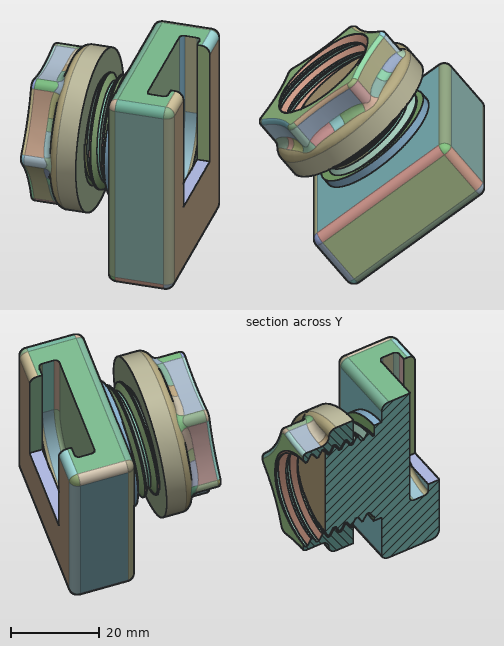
import cadquery as cq
import math


plate_thick = 15.5
plate_width = 39.2
plate_height = 48.0
plate_top = 20.0
plate_round = 2.0

slot_dia = 26.8
slot_depth = 4.8
slot_round = 1.0
lip_thick = 3.0
mouth_width = 20.8

collar_dia = 29.5
collar_length = 2.0
stud_length = 13.0
stud_root_dia = 23.35
stud_crest_dia = 26.8

four_turns = 12.0
pitch = four_turns / 4
crest_flat = 0.4
groove_flat = 0.6
flank_angle = 30.0

nut_length = 13.55
nut_gap = 5.4
bore_dia = 24.0
groove_dia = 27.35
flange_dia = 38.0
flange_length = 6.6
flange_round = 1.95
lobe_count = 6
lobe_circle = 16.1
lobe_round = 2.0
scallop_radius = 32.0
nut_edge_round = 0.95
root_round = 1.95

overshoot = 1.9
tolerance = 0.005

nut_front = -(collar_length + nut_gap + nut_length)


def along_x(shape, start):
    """Turn a shape built along +Z so that it runs along +X from the given position."""
    return shape.rotate((0, 0, 0), (0, 1, 0), 90).translate((start, 0, 0))


def helical_ridge(inner_dia, outer_dia, outer_flat, start, height):
    """Right-handed trapezoidal ridge around Z with a flat at the larger diameter."""
    sink = 0.25
    inner = inner_dia / 2 - sink
    outer = outer_dia / 2
    half_flat = outer_flat / 2
    half_base = half_flat + (outer - inner) * math.tan(math.radians(flank_angle))
    helix = cq.Wire.makeHelix(pitch, height, inner).translate(cq.Vector(0, 0, start))
    return (
        cq.Workplane("XZ")
        .moveTo(inner, start - half_base)
        .lineTo(outer, start - half_flat)
        .lineTo(outer, start + half_flat)
        .lineTo(inner, start + half_base)
        .close()
        .sweep(cq.Workplane(obj=helix), isFrenet=True)
    )


def plate_blank():
    """Block with all its edges rounded."""
    return (
        cq.Workplane("XY")
        .box(plate_thick, plate_width, plate_height, centered=(False, True, False))
        .translate((0, 0, plate_top - plate_height))
        .edges()
        .fillet(plate_round)
    )


def t_slot():
    """Round-ended slot with rounded walls, and the square-cornered mouth behind it."""
    slot_back = plate_thick - lip_thick
    slot = (
        cq.Workplane("YZ", origin=(slot_back - slot_depth, 0, 0))
        .moveTo(-slot_dia / 2, plate_top + overshoot)
        .lineTo(-slot_dia / 2, 0)
        .threePointArc((0, -slot_dia / 2), (slot_dia / 2, 0))
        .lineTo(slot_dia / 2, plate_top + overshoot)
        .close()
        .extrude(slot_depth)
        .faces("<X or >X").edges("not >Z").fillet(slot_round)
    )
    mouth_bottom = -mouth_width / 2
    mouth = (
        cq.Workplane("XY", origin=(slot_back, 0, mouth_bottom))
        .box(lip_thick + overshoot, mouth_width, plate_top + overshoot - mouth_bottom,
             centered=(False, True, False))
    )
    return slot.union(mouth)


def stud():
    """Collar and threaded stud, built along Z with the free end at Z = 0."""
    core = cq.Workplane("XY").circle(stud_root_dia / 2).extrude(stud_length)
    turns = math.ceil(stud_length / pitch) + 1
    thread_start = stud_length - turns * pitch
    ridge = helical_ridge(stud_root_dia, stud_crest_dia, crest_flat, thread_start, (turns + 1) * pitch)
    limit = cq.Workplane("XY").circle(stud_crest_dia / 2 + overshoot).extrude(stud_length)
    collar = (
        cq.Workplane("XY", origin=(0, 0, stud_length))
        .circle(collar_dia / 2)
        .extrude(collar_length)
    )
    return core.union(ridge.intersect(limit)).union(collar)


def lobed_outline():
    """Six rounded corners joined by hollow arcs tangent to them."""
    half_step = math.pi / lobe_count
    first_corner = math.pi / 2
    reach = scallop_radius + lobe_round
    half_chord = lobe_circle * math.sin(half_step)
    scallop_circle = lobe_circle * math.cos(half_step) + math.sqrt(reach**2 - half_chord**2)
    swing = math.asin(half_chord / reach)

    def corner_point(corner, turn):
        angle = first_corner + 2 * half_step * corner
        normal = angle + turn
        return (
            lobe_circle * math.cos(angle) + lobe_round * math.cos(normal),
            lobe_circle * math.sin(angle) + lobe_round * math.sin(normal),
        )

    tangent_turn = half_step + swing
    valley = scallop_circle - scallop_radius
    outline = cq.Workplane("XY").moveTo(*corner_point(0, -tangent_turn))
    for corner in range(lobe_count):
        middle = first_corner + half_step * (2 * corner + 1)
        outline = outline.threePointArc(corner_point(corner, 0), corner_point(corner, tangent_turn))
        outline = outline.threePointArc(
            (valley * math.cos(middle), valley * math.sin(middle)),
            corner_point(corner + 1, -tangent_turn),
        )
    return outline.close()


def nut_blank():
    """Lobed head blended into a round flange, built along Z with its front at Z = 0."""
    flange_front = nut_length - flange_length
    head = lobed_outline().extrude(nut_length).faces("<Z").edges().fillet(nut_edge_round)
    flange = (
        cq.Workplane("XY", origin=(0, 0, flange_front))
        .circle(flange_dia / 2)
        .extrude(flange_length)
        .faces("<Z").edges().fillet(flange_round)
    )
    return blend_root(head.union(flange), flange_front)


def blend_root(body, flange_front):
    """Fillet the scallop arcs on the flange face; the blend runs on around the tangent corners."""
    root_arcs = [
        edge
        for edge in body.edges().vals()
        if edge.geomType() == "CIRCLE"
        and math.isclose(edge.radius(), scallop_radius, abs_tol=tolerance)
        and math.isclose(edge.Center().z, flange_front, abs_tol=tolerance)
    ]
    return body.newObject(root_arcs).fillet(root_round)


def nut_thread_groove():
    """Groove in phase with the stud thread, running out through both ends of the nut."""
    crest_at_flange = nut_length + nut_gap
    turns = math.ceil(crest_at_flange / pitch) + 1
    thread_start = crest_at_flange - turns * pitch
    groove = helical_ridge(bore_dia, groove_dia, groove_flat, thread_start, turns * pitch)
    return groove.rotate((0, 0, 0), (0, 0, 1), 90).translate((0, 0, pitch / 4))


def make_nut():
    """Nut with its threaded bore, built along Z with its front at Z = 0."""
    bore = cq.Workplane("XY").circle(bore_dia / 2).extrude(nut_length)
    return nut_blank().cut(bore).cut(nut_thread_groove())


def make_plate():
    """Clamp plate with the collar and stud standing out of its front face."""
    return plate_blank().cut(t_slot()).union(along_x(stud(), -collar_length - stud_length))


plate = make_plate()
nut = along_x(make_nut(), nut_front)

result = cq.Compound.makeCompound([plate.solids().val(), nut.solids().val()])